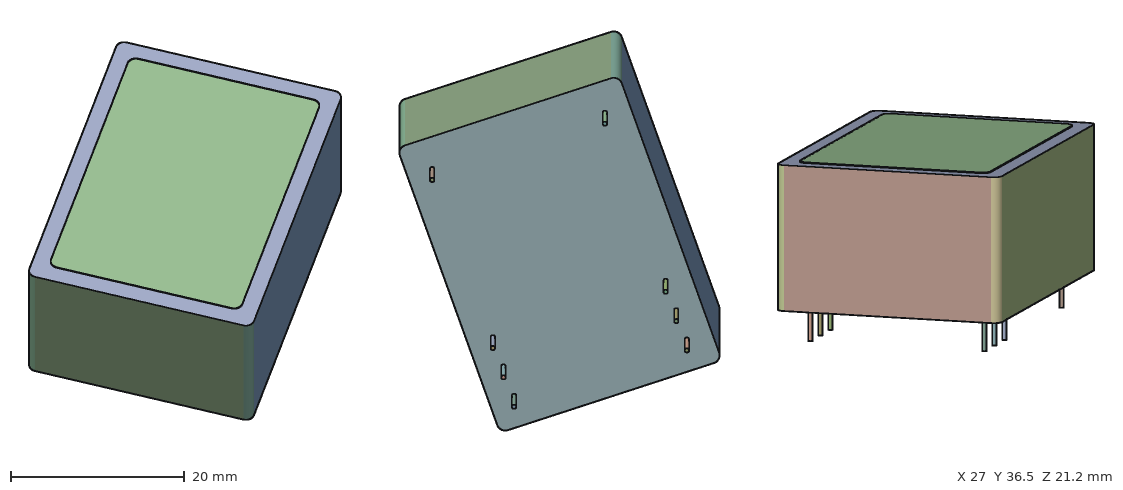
import cadquery as cq

case_width = 27.0
case_length = 36.5
case_height = 17.1
corner_radius = 1.0

rim_width = 2.0
panel_height = 0.1
panel_width = case_width - 2 * rim_width
panel_length = case_length - 2 * rim_width

pin_diameter = 0.5
pin_length = 4.0
pin_row_x = 10.5
end_pin_y = 14.53
pin_pitch = 3.75
row_y = [-end_pin_y, end_pin_y - 2 * pin_pitch, end_pin_y - pin_pitch, end_pin_y]
pin_places = [(x, y) for x in (-pin_row_x, pin_row_x) for y in row_y]


def rounded_block(width, length, height, base_z):
    """Upright block with rounded vertical edges."""
    block = cq.Workplane("XY").box(width, length, height, centered=(True, True, False))
    return block.edges("|Z").fillet(corner_radius).translate((0, 0, base_z))


def make_case():
    """Block with the raised panel as part of its top."""
    block = rounded_block(case_width, case_length, case_height, 0)
    panel = rounded_block(panel_width, panel_length, panel_height, case_height)
    return block.union(panel)


def make_pin(x, y):
    """Round pin with its upper end against the underside of the case."""
    return cq.Workplane("XY").center(x, y).circle(pin_diameter / 2).extrude(-pin_length)


case = make_case()
pins = [make_pin(x, y) for x, y in pin_places]

result = cq.Compound.makeCompound([case.val(), *[pin.val() for pin in pins]])